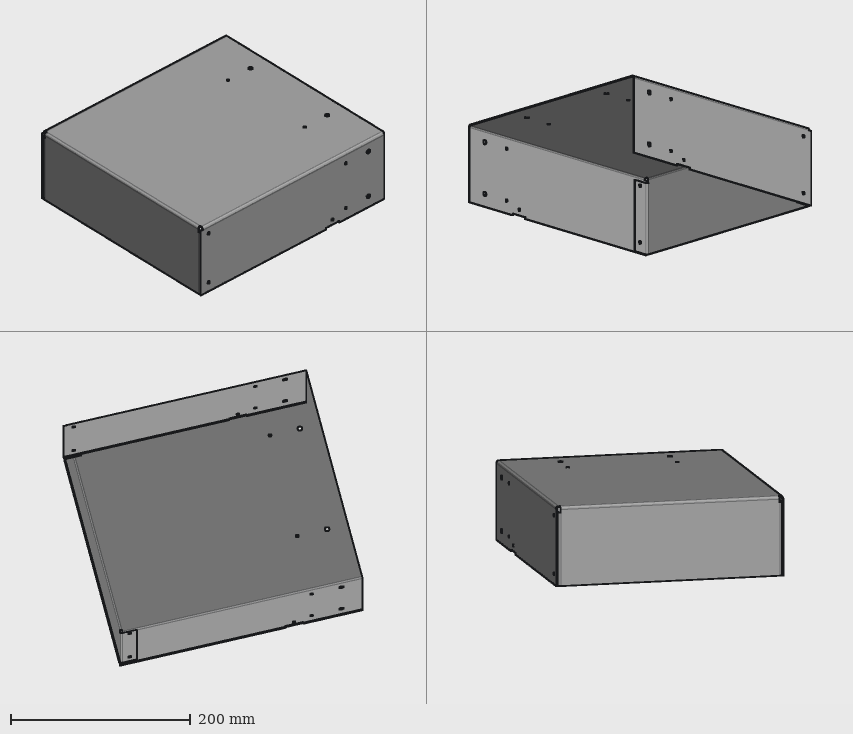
import cadquery as cq

width = 260.48
depth = 278.18
height = 90.34

sheet = 1.5
bend_radius = 3.2
inner_bend_radius = bend_radius - sheet

flange_gap = 0.1
flange_length = 20.0
flange_top_drop = 7.0
panel_half_width = width / 2 - sheet - flange_gap

large_hole_diameter = 5.0
small_hole_diameter = 3.0
large_hole_from_rear = 24.0
small_hole_from_rear = 58.2
top_hole_spacing = 125.4
side_hole_spacing = 60.5
side_hole_lowest = 14.8

flange_hole_diameter = 3.3
flange_hole_from_front = 12.0
flange_hole_spacing = 66.2
flange_hole_lowest = 12.0

lone_hole_diameter = 3.0
lone_hole_from_rear = 78.3
lone_hole_height = 8.6
notch_length = 20.0
notch_height = 2.0


def box(x_range, y_range, z_range):
    """Axis-aligned block between the given limits."""
    size = [high - low for low, high in (x_range, y_range, z_range)]
    corner = (x_range[0], y_range[0], z_range[0])
    return cq.Workplane("XY").box(*size, centered=False).translate(corner)


def make_top_and_sides():
    """Inverted U of top and side walls; the sides reach past its bends to the front."""
    outer = box((-width / 2, width / 2), (0, depth), (0, height))
    outer = outer.edges("|Y and >Z").fillet(bend_radius)
    inner_half = width / 2 - sheet
    inner = box((-inner_half, inner_half), (0, depth), (0, height - sheet))
    inner = inner.edges("|Y and >Z").fillet(inner_bend_radius)
    front_strip = box((-width / 2, width / 2), (0, bend_radius), (height - bend_radius, height))
    return outer.cut(inner).cut(front_strip)


def make_front_bend():
    """Front panel with the bend that joins it to the top."""
    half = panel_half_width - bend_radius
    outer = box((-half, half), (0, 2 * bend_radius), (0, height))
    outer = outer.edges("|X and <Y and >Z").fillet(bend_radius)
    inner = box((-half, half), (sheet, depth), (0, height - sheet))
    inner = inner.edges("|X and <Y and >Z").fillet(inner_bend_radius)
    return outer.cut(inner)


def make_front_flanges():
    """Both side flanges with the upright bends that join them to the front panel."""
    top = height - flange_top_drop
    outer = box((-panel_half_width, panel_half_width), (0, flange_length), (0, top))
    outer = outer.edges("|Z and <Y").fillet(bend_radius)
    inner_half = panel_half_width - sheet
    inner = box((-inner_half, inner_half), (sheet, depth), (0, top))
    inner = inner.edges("|Z and <Y").fillet(inner_bend_radius)
    return outer.cut(inner)


def side_holes(diameter, y, heights):
    """Cutters running across the full width, one at each height."""
    plane = cq.Workplane("YZ", origin=(-width / 2, 0, 0))
    return plane.pushPoints([(y, z) for z in heights]).circle(diameter / 2).extrude(width)


def top_holes(diameter, y):
    """Pair of upright cutters through the top."""
    points = [(side * top_hole_spacing / 2, y) for side in (-1, 1)]
    plane = cq.Workplane("XY", origin=(0, 0, height - sheet))
    return plane.pushPoints(points).circle(diameter / 2).extrude(sheet)


def cut_mounting_holes(body):
    """Large and small holes near the rear, in the top and in both sides."""
    heights = [side_hole_lowest, side_hole_lowest + side_hole_spacing]
    for diameter, from_rear in (
        (large_hole_diameter, large_hole_from_rear),
        (small_hole_diameter, small_hole_from_rear),
    ):
        y = depth - from_rear
        body = body.cut(top_holes(diameter, y)).cut(side_holes(diameter, y, heights))
    return body


def cut_flange_holes(body):
    """Upper and lower holes through each side wall and its flange."""
    heights = [flange_hole_lowest, flange_hole_lowest + flange_hole_spacing]
    return body.cut(side_holes(flange_hole_diameter, flange_hole_from_front, heights))


def cut_notch_and_lone_hole(body):
    """Bottom edge notch centred under a single small hole, in both sides."""
    y = depth - lone_hole_from_rear
    body = body.cut(side_holes(lone_hole_diameter, y, [lone_hole_height]))
    y_range = (y - notch_length / 2, y + notch_length / 2)
    return body.cut(box((-width / 2, width / 2), y_range, (0, notch_height)))


cover = make_top_and_sides().union(make_front_bend()).union(make_front_flanges())
cover = cut_mounting_holes(cover)
cover = cut_flange_holes(cover)
result = cut_notch_and_lone_hole(cover)